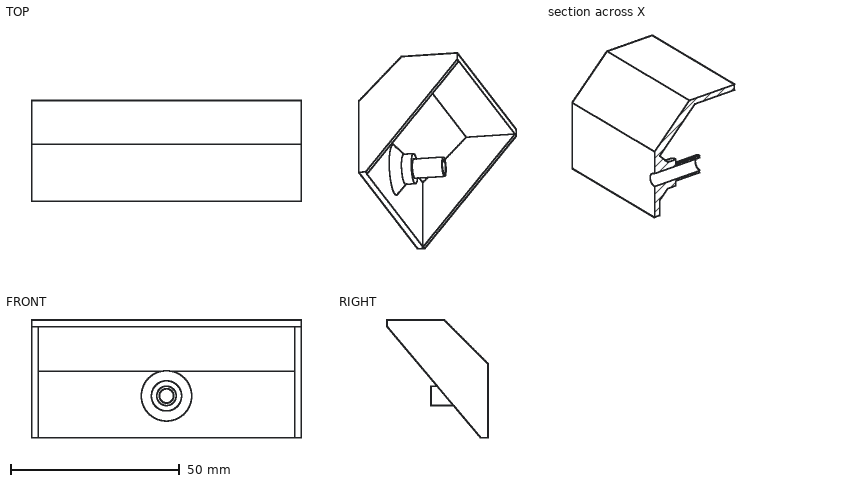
import cadquery as cq

length = 80.0
depth = 30.0
height = 35.0
wall = 2.0
bevel = 13.0
inner_bevel = 13.2
foot = 2.2

spigot_height = 12.5
spigot_tip = 13.0
spigot_diameter = 5.8
bore_diameter = 4.2
cone_base_diameter = 15.0
collar_diameter = 9.0
cone_length = 3.0
collar_length = 3.0

inner_back = depth - wall


def extrude_profile(points, width):
    """Extrude a Y-Z outline symmetrically along X."""
    return cq.Workplane("YZ").polyline(points).close().extrude(width / 2, both=True)


def spigot_cylinder(diameter, start, end):
    """Cylinder along Y on the spigot axis."""
    plane = cq.Plane((0, start, spigot_height), xDir=(1, 0, 0), normal=(0, 1, 0))
    return cq.Workplane(plane).circle(diameter / 2).extrude(end - start)


def spigot_cone():
    """Cone that narrows from the back wall towards the collar."""
    solid = cq.Solid.makeCone(
        cone_base_diameter / 2,
        collar_diameter / 2,
        cone_length,
        pnt=cq.Vector(0, inner_back, spigot_height),
        dir=cq.Vector(0, -1, 0),
    )
    return cq.Workplane(obj=solid)


hood = extrude_profile(
    [
        (0, height),
        (depth - bevel, height),
        (depth, height - bevel),
        (depth, 0),
        (depth - foot, 0),
        (0, height - wall),
    ],
    length,
)

cavity = extrude_profile(
    [
        (0, height - wall),
        (inner_back - inner_bevel, height - wall),
        (inner_back, height - wall - inner_bevel),
        (inner_back, 0),
        (0, 0),
    ],
    length - 2 * wall,
)

spigot = spigot_cylinder(spigot_diameter, spigot_tip, depth)
collar_base = inner_back - cone_length
collar = spigot_cylinder(collar_diameter, collar_base - collar_length, collar_base)
bore = spigot_cylinder(bore_diameter, spigot_tip, depth)

result = hood.cut(cavity).union(spigot_cone()).union(collar).union(spigot).cut(bore)